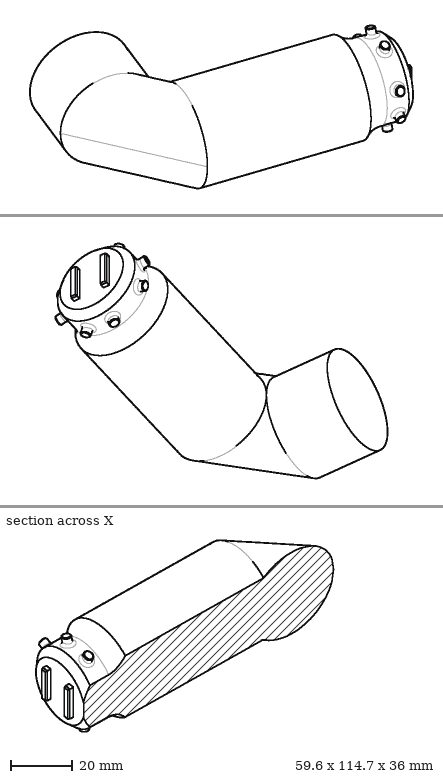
import cadquery as cq
import math

tube_radius = 18.0
tube_diameter = 2 * tube_radius
short_arm_length = 23.6

total_height = 114.7
shoulder_height = 94.7
band_start = 101.8
end_face_height = 112.5

neck_radius = 15.0
end_chamfer = 2.8
overlap = 2.3

pin_height = 106.0
pin_half_width = 1.8
pin_half_depth = 1.6
pin_tip_radius = 18.0
pin_root_fillet = 1.0
pin_tip_chamfer = 0.29
pin_pair_angles = (-22.0, 15.0)
pin_pair_count = 4

key_spacing = 11.5
key_width = 2.2
key_length = 13.1
key_chamfer_height = 0.7
key_chamfer_width = 0.2


def make_short_arm():
    return (
        cq.Workplane("YZ", origin=(-tube_radius - short_arm_length, tube_radius, 0))
        .circle(tube_radius)
        .extrude(short_arm_length)
    )


def make_long_arm():
    return (
        cq.Workplane("XZ", origin=(0, shoulder_height, 0))
        .circle(tube_radius)
        .extrude(shoulder_height - tube_diameter)
    )


def make_transition():
    """Ruled tube from the short arm's round end to the long arm's, pinched at the inner corner."""
    inner_corner = cq.Vector(-tube_radius, tube_diameter, 0)
    short_arm_edges = []
    long_arm_edges = []
    for crest in (tube_radius, -tube_radius):
        short_arm_edges.append(
            cq.Edge.makeThreePointArc(
                inner_corner,
                cq.Vector(-tube_radius, tube_radius, crest),
                cq.Vector(-tube_radius, 0, 0),
            )
        )
        long_arm_edges.append(
            cq.Edge.makeThreePointArc(
                inner_corner,
                cq.Vector(0, tube_diameter, crest),
                cq.Vector(tube_radius, tube_diameter, 0),
            )
        )
    faces = [cq.Face.makeRuledSurface(*edges) for edges in zip(short_arm_edges, long_arm_edges)]
    for edges in (short_arm_edges, long_arm_edges):
        faces.append(cq.Face.makeFromWires(cq.Wire.assembleEdges(edges)))
    return cq.Workplane(obj=cq.Solid.makeSolid(cq.Shell.makeShell(faces)))


def make_neck():
    """Turned neck: concave flare, straight band and chamfered end."""
    flare_height = band_start - shoulder_height
    flare_step = tube_radius - neck_radius
    flare_radius = (flare_height**2 + flare_step**2) / (2 * flare_step)
    half_sweep = math.asin(flare_height / flare_radius) / 2
    flare_middle = (
        neck_radius + flare_radius * (1 - math.cos(half_sweep)),
        band_start - flare_radius * math.sin(half_sweep),
    )
    return (
        cq.Workplane("XY")
        .moveTo(0, shoulder_height - overlap)
        .lineTo(tube_radius, shoulder_height - overlap)
        .lineTo(tube_radius, shoulder_height)
        .threePointArc(flare_middle, (neck_radius, band_start))
        .lineTo(neck_radius, end_face_height - end_chamfer)
        .lineTo(neck_radius - end_chamfer, end_face_height)
        .lineTo(0, end_face_height)
        .close()
        .revolve(360, (0, 0, 0), (0, 1, 0))
    )


def make_pin(angle):
    pin = (
        cq.Workplane("XY", origin=(0, pin_height, neck_radius / 2))
        .ellipse(pin_half_width, pin_half_depth)
        .extrude(pin_tip_radius - neck_radius / 2)
        .faces(">Z")
        .chamfer(pin_tip_chamfer)
    )
    return pin.rotate((0, 0, 0), (0, 1, 0), angle)


def make_key(x):
    key_height = total_height - end_face_height
    key = (
        cq.Workplane("XZ", origin=(x, end_face_height - overlap, 0))
        .rect(key_width, key_length)
        .extrude(-(key_height + overlap))
    )
    return key.faces(">Y").chamfer(key_chamfer_height, key_chamfer_width)


neck = make_neck()
for pair in range(pin_pair_count):
    for pin_angle in pin_pair_angles:
        neck = neck.union(make_pin(pin_angle + pair * 360 / pin_pair_count))

neck = (
    neck.edges("not (%CIRCLE or %LINE)")
    .filter(lambda edge: math.hypot(edge.Center().x, edge.Center().z) < neck_radius)
    .fillet(pin_root_fillet)
)

result = make_transition().union(make_short_arm()).union(make_long_arm()).union(neck)
for side in (-1, 1):
    result = result.union(make_key(side * key_spacing / 2))